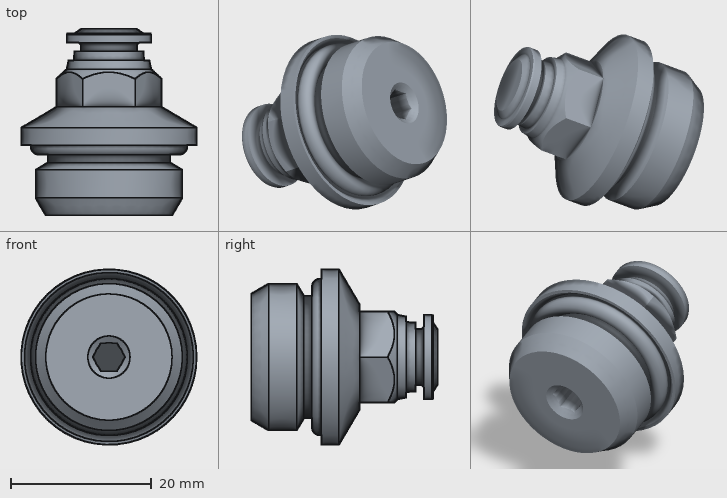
import cadquery as cq
import math

length = 26.6

plug_radius = 10.45
plug_face_radius = 9.0
plug_lead_end = 2.5
plug_end = 6.5
groove_start = 7.53
groove_radius = 8.75

flange_radius = 12.5
flange_face = 10.0
flange_rim_end = 12.5
flange_end = 15.45
recess_mouth_radius = 12.02
recess_floor_radius = 11.07
recess_depth = 1.0
ring_section_radius = 1.22
ring_front = 8.65
ring_embed = 0.03

nut_across_flats = 12.98
nut_corner_radius = nut_across_flats / math.sqrt(3)
nut_corner_end = 19.45
nut_end = 20.83
nut_end_radius = 6.05

large_step_end = 22.08
large_step_end_radius = 5.77
small_step_end = 23.4
small_step_radius = 5.03
small_step_end_radius = 4.92

neck_radius = 4.02
collar_radius = 6.05
collar_start = 24.6
neck_fillet = 0.48
collar_rim_end = 25.7
collar_edge_radius = 5.93
collar_face = 25.9
cap_radius = 4.92
cap_end_radius = 3.88

socket_across_flats = 4.0
socket_bore_radius = 2.05
socket_depth = 7.45
socket_lead_radius = 3.0
socket_lead_angle = 45.0


def revolve_profile(points):
    """Turn a closed outline of (radius, y) points about the Y axis."""
    return cq.Workplane("XY").polyline(points).close().revolve(360, (0, 0, 0), (0, 1, 0))


def hexagonal_prism(across_flats, start, end):
    """Hexagonal bar along Y, with two corners on the X axis."""
    corner_diameter = 2 * across_flats / math.sqrt(3)
    plane = cq.Plane(origin=(0, start, 0), xDir=(1, 0, 0), normal=(0, 1, 0))
    return cq.Workplane(plane).polygon(6, corner_diameter).extrude(end - start)


def make_plug_and_flange():
    recess_floor = flange_face + recess_depth
    return revolve_profile([
        (0, 0),
        (plug_face_radius, 0),
        (plug_radius, plug_lead_end),
        (plug_radius, plug_end),
        (groove_radius, groove_start),
        (groove_radius, recess_floor),
        (recess_floor_radius, recess_floor),
        (recess_mouth_radius, flange_face),
        (flange_radius, flange_face),
        (flange_radius, flange_rim_end),
        (nut_corner_radius, flange_end),
        (0, flange_end),
    ])


def make_sealing_ring():
    centre_radius = groove_radius + ring_section_radius - ring_embed
    centre_y = ring_front + ring_section_radius
    section = cq.Workplane("XY").center(centre_radius, centre_y).circle(ring_section_radius)
    return section.revolve(360, (-centre_radius, 0, 0), (-centre_radius, 1, 0))


def make_nut():
    envelope = revolve_profile([
        (0, flange_end),
        (nut_corner_radius, flange_end),
        (nut_corner_radius, nut_corner_end),
        (nut_end_radius, nut_end),
        (0, nut_end),
    ])
    return hexagonal_prism(nut_across_flats, flange_end, nut_end).intersect(envelope)


def make_steps_and_collar():
    body = revolve_profile([
        (0, nut_end),
        (nut_end_radius, nut_end),
        (large_step_end_radius, large_step_end),
        (small_step_radius, large_step_end),
        (small_step_end_radius, small_step_end),
        (neck_radius, small_step_end),
        (neck_radius, collar_start),
        (collar_radius, collar_start),
        (collar_radius, collar_rim_end),
        (collar_edge_radius, collar_face),
        (cap_radius, collar_face),
        (cap_end_radius, length),
        (0, length),
    ])
    neck_corner = cq.selectors.RadiusNthSelector(0)
    at_collar = cq.selectors.BoxSelector(
        (-collar_radius, collar_start - neck_fillet, -collar_radius),
        (collar_radius, collar_start + neck_fillet, collar_radius),
    )
    return body.edges("%CIRCLE").edges(at_collar).edges(neck_corner).fillet(neck_fillet)


def make_socket():
    lead_depth = socket_lead_radius / math.tan(math.radians(socket_lead_angle))
    lead_in = revolve_profile([(0, 0), (socket_lead_radius, 0), (0, lead_depth)])
    bore = revolve_profile([
        (0, 0),
        (socket_bore_radius, 0),
        (socket_bore_radius, socket_depth),
        (0, socket_depth),
    ])
    return hexagonal_prism(socket_across_flats, 0, socket_depth).union(bore).union(lead_in)


result = (
    make_plug_and_flange()
    .union(make_sealing_ring())
    .union(make_nut())
    .union(make_steps_and_collar())
    .cut(make_socket())
)